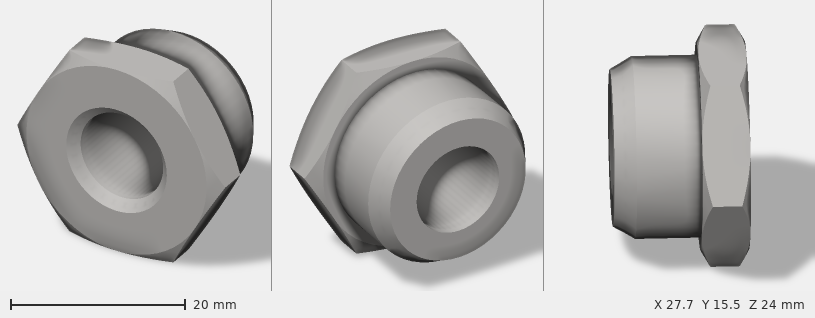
import cadquery as cq
import math

across_corners = 27.7
across_flats = across_corners * math.cos(math.radians(30))
total_length = 15.5
head_thickness = 5.51
head_chamfer_angle = 30.0

shank_diameter = 20.95
tip_length = 2.5
tip_angle = 30.0

bore_diameter = 11.0
countersink_diameter = 13.4
countersink_angle = 45.0


def revolve_profile(points):
    """Revolve a closed (radius, Y) outline around the Y axis."""
    return cq.Workplane("XY").polyline(points).close().revolve(360, (0, 0), (0, 1))


def make_head():
    """Hexagon with corners on +X and -X, both faces chamfered to a round."""
    hexagon = (
        cq.Workplane("XZ")
        .polygon(6, across_corners)
        .extrude(-head_thickness)
    )
    face_radius = across_flats / 2
    envelope_radius = across_corners / 2 + 0.28
    corner_drop = (envelope_radius - face_radius) * math.tan(math.radians(head_chamfer_angle))
    envelope = revolve_profile([
        (0, 0),
        (face_radius, 0),
        (envelope_radius, corner_drop),
        (envelope_radius, head_thickness - corner_drop),
        (face_radius, head_thickness),
        (0, head_thickness),
    ])
    return hexagon.intersect(envelope)


def make_shank():
    """Cylinder with a tapered tip, starting inside the head."""
    shank_radius = shank_diameter / 2
    tip_radius = shank_radius - tip_length * math.tan(math.radians(tip_angle))
    return revolve_profile([
        (0, 0),
        (shank_radius, 0),
        (shank_radius, total_length - tip_length),
        (tip_radius, total_length),
        (0, total_length),
    ])


def make_bore():
    """Through bore, countersunk at the head face."""
    bore_radius = bore_diameter / 2
    countersink_radius = countersink_diameter / 2
    countersink_depth = (countersink_radius - bore_radius) / math.tan(math.radians(countersink_angle))
    return revolve_profile([
        (0, 0),
        (countersink_radius, 0),
        (bore_radius, countersink_depth),
        (bore_radius, total_length),
        (0, total_length),
    ])


result = make_head().union(make_shank()).cut(make_bore())